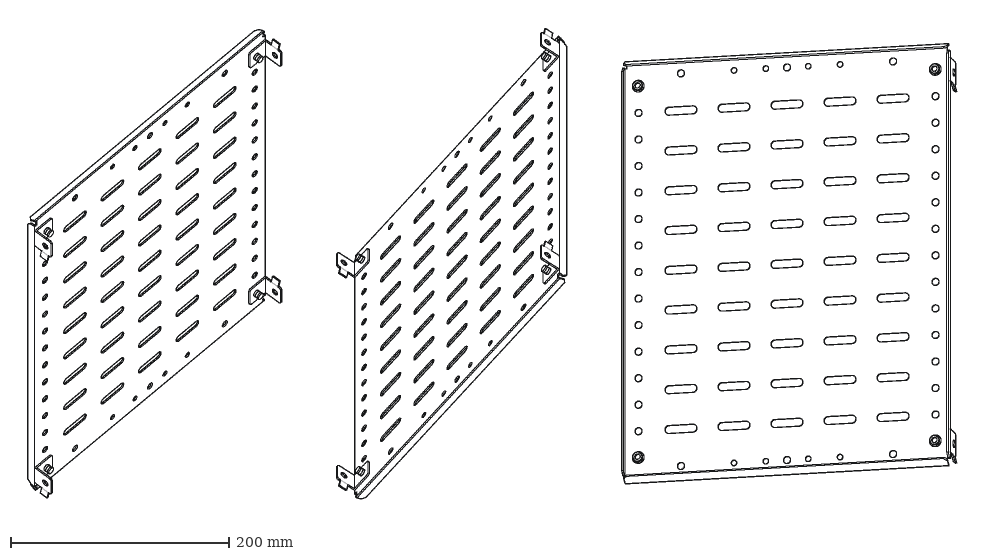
import math

import cadquery as cq

SHEET = 1.5
PANEL_BACK_X = 9.7
PANEL_FRONT_X = PANEL_BACK_X - SHEET
PANEL_WIDTH = 308.0
PANEL_HEIGHT = 397.66

LIP_TIP_X = 0.0
LIP_ANGLE = 30.0
LIP_WIDTH = 305.2
NECK_WIDTH = 302.0
LIP_CORNER = 3.0

FLANGE_FRONT_X = 0.9
FLANGE_HEIGHT = 384.0
FLANGE_CORNER = 4.0

SLOT_LENGTH = 30.0
SLOT_WIDTH = 7.5
SLOT_COLUMNS = 5
SLOT_ROWS = 9
SLOT_PITCH_Y = 50.0
SLOT_PITCH_Z = 37.5
SIDE_HOLE_Y = 140.0
SIDE_HOLE_COUNT = 13
SIDE_HOLE_PITCH = 25.0
EDGE_HOLE_Z = 185.0
LARGE_HOLE = 6.6
SMALL_HOLE = 5.2
LARGE_EDGE_HOLES_Y = (-100.0, 0.0, 100.0)
SMALL_EDGE_HOLES_Y = (-50.0, -20.0, 20.0, 50.0)

MOUNT_Y = SIDE_HOLE_Y
MOUNT_Z = 175.0
BRACKET_SHEET = 1.5
BRACKET_WIDTH = 22.0
BRACKET_CORNER = 2.5
ARM_END_X = 30.52
ARM_OUTER_Y = PANEL_WIDTH / 2
FOOT_END_Y = 131.8
FOOT_BACK_X = PANEL_BACK_X + BRACKET_SHEET
ARM_HOLE = 6.5
ARM_HOLE_X = 23.1
TAB_WIDTH = 8.5
TAB_FOLD_Z = 11.4
TAB_TIP_Z = 17.7
TAB_TIP_Y = 155.75
TAB_START_X = 18.4

SHANK = 6.0
RIM = 11.0
RIM_HEIGHT = 0.8
HEAD = 8.5
HEAD_HEIGHT = 3.2
SOCKET = 5.0
SOCKET_DEPTH = 2.5
COLLAR = 6.6
NECK = 6.2
NECK_START_X = 13.2
NECK_END_X = 15.6
FASTENER_END_X = 17.2


def block(x_range, y_range, z_range):
    """Box between the given limits."""
    size = [high - low for low, high in (x_range, y_range, z_range)]
    corner = (x_range[0], y_range[0], z_range[0])
    return cq.Workplane("XY").box(*size, centered=False).translate(corner)


def rod(diameter, x_start, x_end):
    """Cylinder along X."""
    return cq.Workplane("YZ", origin=(x_start, 0, 0)).circle(diameter / 2).extrude(x_end - x_start)


def make_lip(side):
    """Sloped lip along the top (side = 1) or bottom (side = -1) edge, with its tip corners cut off."""
    angle = math.radians(LIP_ANGLE)
    crest_z = PANEL_HEIGHT / 2
    tip_z = crest_z - (PANEL_FRONT_X - LIP_TIP_X) * math.tan(angle)
    under_z = crest_z - SHEET / math.cos(angle)
    profile = [
        (PANEL_BACK_X, crest_z),
        (PANEL_FRONT_X, crest_z),
        (LIP_TIP_X, tip_z),
        (LIP_TIP_X + SHEET * math.sin(angle), tip_z - SHEET * math.cos(angle)),
        (PANEL_FRONT_X, under_z),
        (PANEL_BACK_X, under_z),
    ]
    lip = (
        cq.Workplane("XZ", origin=(0, LIP_WIDTH / 2, 0))
        .polyline([(x, side * z) for x, z in profile])
        .close()
        .extrude(LIP_WIDTH)
    )
    half = LIP_WIDTH / 2
    plan = (
        cq.Workplane("XY", origin=(0, 0, -PANEL_HEIGHT))
        .polyline(
            [
                (PANEL_BACK_X, -half),
                (LIP_TIP_X + LIP_CORNER, -half),
                (LIP_TIP_X, LIP_CORNER - half),
                (LIP_TIP_X, half - LIP_CORNER),
                (LIP_TIP_X + LIP_CORNER, half),
                (PANEL_BACK_X, half),
            ]
        )
        .close()
        .extrude(2 * PANEL_HEIGHT)
    )
    return lip.intersect(plan)


def make_side_flange(side):
    """Flange along the +Y (side = 1) or -Y (side = -1) edge."""
    inner, outer = sorted((side * PANEL_WIDTH / 2, side * (PANEL_WIDTH / 2 - SHEET)))
    half = FLANGE_HEIGHT / 2
    flange = block((FLANGE_FRONT_X, PANEL_BACK_X), (inner, outer), (-half, half))
    return flange.faces("<X").edges("|Y").chamfer(FLANGE_CORNER)


def hole_cutter(points, diameter):
    """Round cutters through the sheet at (y, z) points."""
    return (
        cq.Workplane("YZ", origin=(PANEL_FRONT_X, 0, 0)).pushPoints(points).circle(diameter / 2).extrude(SHEET)
    )


def make_panel():
    """Sheet with narrower necks under the lips, side flanges, slots and holes."""
    half_neck = NECK_WIDTH / 2
    half_width = PANEL_WIDTH / 2
    half_flange = FLANGE_HEIGHT / 2
    neck_top = PANEL_HEIGHT / 2 - SHEET
    sheet_x = (PANEL_FRONT_X, PANEL_BACK_X)
    panel = block(sheet_x, (-half_width, half_width), (-half_flange, half_flange))
    panel = panel.union(block(sheet_x, (-half_neck, half_neck), (-neck_top, neck_top)))
    for side in (-1, 1):
        panel = panel.union(make_lip(side)).union(make_side_flange(side))
    slots = (
        cq.Workplane("YZ", origin=(PANEL_FRONT_X, 0, 0))
        .rarray(SLOT_PITCH_Y, SLOT_PITCH_Z, SLOT_COLUMNS, SLOT_ROWS)
        .slot2D(SLOT_LENGTH, SLOT_WIDTH)
        .extrude(SHEET)
    )
    first_z = -SIDE_HOLE_PITCH * (SIDE_HOLE_COUNT - 1) / 2
    large = [(y, z) for y in LARGE_EDGE_HOLES_Y for z in (-EDGE_HOLE_Z, EDGE_HOLE_Z)]
    small = [(y, z) for y in SMALL_EDGE_HOLES_Y for z in (-EDGE_HOLE_Z, EDGE_HOLE_Z)]
    mounts = [(y, z) for y in (-MOUNT_Y, MOUNT_Y) for z in (-MOUNT_Z, MOUNT_Z)]
    for row in range(SIDE_HOLE_COUNT):
        large += [(y, first_z + row * SIDE_HOLE_PITCH) for y in (-SIDE_HOLE_Y, SIDE_HOLE_Y)]
    panel = panel.cut(slots)
    panel = panel.cut(hole_cutter(large, LARGE_HOLE)).cut(hole_cutter(small, SMALL_HOLE))
    return panel.cut(hole_cutter(mounts, SHANK))


def make_tab():
    """Tab above the arm, folded to lean outward."""
    inner_y = ARM_OUTER_Y - BRACKET_SHEET
    lean = TAB_TIP_Y - ARM_OUTER_Y
    slope = math.atan2(lean, TAB_TIP_Z - TAB_FOLD_Z)
    tip_drop = BRACKET_SHEET * math.sin(slope)
    base_z = BRACKET_WIDTH / 2
    return (
        cq.Workplane("YZ", origin=(TAB_START_X, 0, 0))
        .polyline(
            [
                (inner_y, base_z),
                (inner_y, TAB_FOLD_Z),
                (TAB_TIP_Y - BRACKET_SHEET * math.cos(slope), TAB_TIP_Z),
                (TAB_TIP_Y, TAB_TIP_Z - tip_drop),
                (ARM_OUTER_Y, TAB_FOLD_Z - tip_drop),
                (ARM_OUTER_Y, base_z),
            ]
        )
        .close()
        .extrude(TAB_WIDTH)
    )


def make_bracket():
    """Bracket of the +Y side, centred on Z = 0."""
    half = BRACKET_WIDTH / 2
    z_range = (-half, half)
    foot = block((PANEL_BACK_X, FOOT_BACK_X), (FOOT_END_Y, ARM_OUTER_Y), z_range)
    foot = foot.faces("<Y").edges("|X").fillet(BRACKET_CORNER)
    arm = block((PANEL_BACK_X, ARM_END_X), (ARM_OUTER_Y - BRACKET_SHEET, ARM_OUTER_Y), z_range)
    arm = arm.faces(">X").edges("|Y").fillet(BRACKET_CORNER)
    arm_hole = cq.Workplane("XZ").center(ARM_HOLE_X, 0).circle(ARM_HOLE / 2).extrude(-ARM_OUTER_Y)
    bracket = foot.union(arm).union(make_tab()).cut(arm_hole)
    return bracket.cut(rod(SHANK, PANEL_BACK_X, FOOT_BACK_X).translate((0, MOUNT_Y, 0)))


def make_fastener():
    """Fastener along X with a socketed head in front and a grooved end behind."""
    rim_x = PANEL_FRONT_X - RIM_HEIGHT
    head_x = rim_x - HEAD_HEIGHT
    fastener = rod(RIM, rim_x, PANEL_FRONT_X).union(rod(HEAD, head_x, rim_x))
    fastener = fastener.union(rod(SHANK, PANEL_FRONT_X, FOOT_BACK_X))
    fastener = fastener.union(rod(COLLAR, FOOT_BACK_X, NECK_START_X))
    fastener = fastener.union(rod(NECK, NECK_START_X, NECK_END_X))
    fastener = fastener.union(rod(COLLAR, NECK_END_X, FASTENER_END_X))
    return fastener.cut(rod(SOCKET, head_x, head_x + SOCKET_DEPTH))


panel = make_panel()
bracket = make_bracket()
fastener = make_fastener()

brackets = []
fasteners = []
for turn, y_side in ((0, 1), (180, -1)):
    for z_side in (-1, 1):
        place = (0, 0, z_side * MOUNT_Z)
        turned = bracket.rotate((0, 0, 0), (1, 0, 0), turn)
        brackets.append(turned.translate(place).val())
        fasteners.append(fastener.translate((0, y_side * MOUNT_Y, z_side * MOUNT_Z)).val())

result = cq.Compound.makeCompound([panel.val(), *brackets, *fasteners])